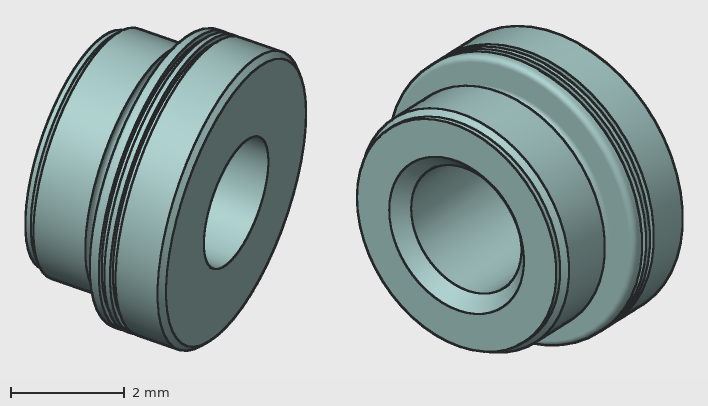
import cadquery as cq
import math

length = 3.03
edge_size = 0.11

flange_radius = 2.78
body_radius = 2.335
lip_radius = body_radius - edge_size
bore_radius = 1.23
countersink_radius = 1.5

lip_length = 0.11
relief_start = 1.25
relief_width = 0.28
flange_start = relief_start + relief_width

relief_depth = 0.22
relief_corner = edge_size
relief_floor_radius = body_radius - relief_depth

groove_width = 0.11
groove_depth = 0.11
land_width = 0.11
groove_pitch = groove_width + land_width
groove_count = 2
first_groove_start = flange_start + edge_size + land_width

countersink_depth = 0.28


def corner_arc(outline, center, radius, start_angle, end_angle):
    """Add an arc about center from the current point at start_angle to end_angle (degrees)."""
    def on_arc(angle):
        turn = math.radians(angle)
        return (center[0] + radius * math.cos(turn), center[1] + radius * math.sin(turn))

    return outline.threePointArc(on_arc((start_angle + end_angle) / 2), on_arc(end_angle))


def make_blank():
    """Solid of revolution with the lip, body, relief and flange."""
    corner_height = relief_floor_radius + relief_corner
    outline = (
        cq.Workplane("XY")
        .moveTo(0, 0)
        .lineTo(0, lip_radius)
        .lineTo(lip_length, lip_radius)
        .lineTo(lip_length + edge_size, body_radius)
        .lineTo(relief_start, body_radius)
        .lineTo(relief_start, corner_height)
    )
    outline = corner_arc(outline, (relief_start + relief_corner, corner_height), relief_corner, 180, 270)
    outline = outline.lineTo(flange_start - relief_corner, relief_floor_radius)
    outline = corner_arc(outline, (flange_start - relief_corner, corner_height), relief_corner, 270, 360)
    outline = outline.lineTo(flange_start, flange_radius - edge_size)
    outline = corner_arc(outline, (flange_start + edge_size, flange_radius - edge_size), edge_size, 180, 90)
    outline = (
        outline
        .lineTo(length - edge_size, flange_radius)
        .lineTo(length, flange_radius - edge_size)
        .lineTo(length, 0)
        .close()
    )
    return outline.revolve(360, (0, 0, 0), (1, 0, 0))


def make_groove(start):
    """Ring that cuts one square groove into the flange."""
    return (
        cq.Workplane("YZ", origin=(start, 0, 0))
        .circle(flange_radius + groove_depth)
        .circle(flange_radius - groove_depth)
        .extrude(groove_width)
    )


def make_bore():
    """Through bore with a conical countersink at the small end."""
    return (
        cq.Workplane("XY")
        .moveTo(0, 0)
        .lineTo(0, countersink_radius)
        .lineTo(countersink_depth, bore_radius)
        .lineTo(length, bore_radius)
        .lineTo(length, 0)
        .close()
        .revolve(360, (0, 0, 0), (1, 0, 0))
    )


result = make_blank().cut(make_bore())
for index in range(groove_count):
    result = result.cut(make_groove(first_groove_start + index * groove_pitch))